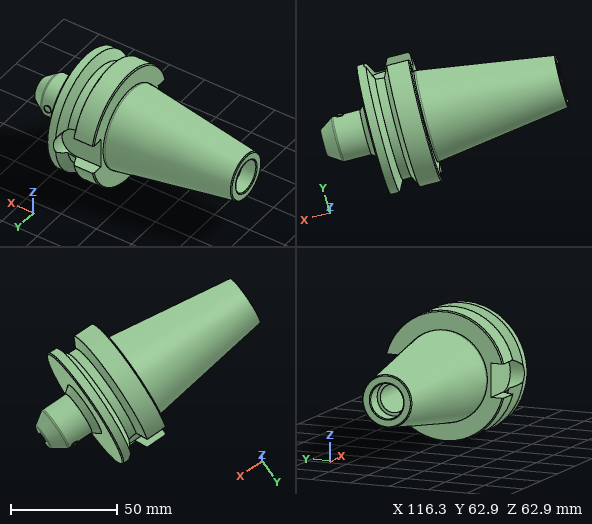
import cadquery as cq

length = 116.3

gauge_radius = 22.2
taper_end = 65.5
taper_ratio = 7 / 24
shank_chamfer = 0.5

flange_radius = 31.47
flange_start = 66.4
flange_end = 92.2
flange_chamfer = 0.6
groove_radius = 26.3
groove_start = 77.5
groove_floor_start = 80.0
groove_floor_end = 84.5
groove_end = 87.4

nose_radius = 11.0
nose_start = 95.7
nose_cone_root_radius = 13.8
nose_shoulder = 109.4
tip_radius = 6.4
shoulder_fillet = 1.4
tip_fillet = 0.9

slot_width = 16.4
slot_floor = 24.2
slot_end = 88.4

mouth_diameter = 17.0
mouth_depth = 8.0
mouth_chamfer = 0.5
thread_diameter = 13.7
thread_depth = 34.9
channel_diameter = 6.3
channel_depth = 93.1
outlet_diameter = 4.8

pin_diameter = 4.0
pin_x = 105.5
pin_inner = 1.6
pin_outer = 11.4


def make_body():
    """Revolve the outer profile about the X axis and round the nose."""
    end_radius = gauge_radius - taper_end * taper_ratio / 2
    chamfered_radius = end_radius + shank_chamfer * taper_ratio / 2
    outline = [
        (0, 0),
        (0, end_radius - shank_chamfer),
        (shank_chamfer, chamfered_radius),
        (taper_end, gauge_radius),
        (flange_start, gauge_radius),
        (flange_start, flange_radius - flange_chamfer),
        (flange_start + flange_chamfer, flange_radius),
        (groove_start, flange_radius),
        (groove_floor_start, groove_radius),
        (groove_floor_end, groove_radius),
        (groove_end, flange_radius),
        (flange_end - flange_chamfer, flange_radius),
        (flange_end, flange_radius - flange_chamfer),
        (flange_end, nose_cone_root_radius),
        (nose_start, nose_radius),
        (nose_shoulder, nose_radius),
        (length, tip_radius),
        (length, 0),
    ]
    body = cq.Workplane("XY").polyline(outline).close().revolve(360, (0, 0, 0), (1, 0, 0))
    body = body.faces(">X").edges().fillet(tip_fillet)
    shoulder = cq.selectors.BoxSelector(
        (nose_shoulder - shoulder_fillet, -nose_radius, -nose_radius),
        (nose_shoulder + shoulder_fillet, nose_radius, nose_radius),
        boundingbox=False,
    )
    return body.edges("%CIRCLE").edges(shoulder).fillet(shoulder_fillet)


def make_slot(side):
    """Round-ended drive slot on the side of Y given by the sign."""
    half_width = slot_width / 2
    arc_start = slot_end - half_width
    slot = (
        cq.Workplane("XZ")
        .moveTo(taper_end, -half_width)
        .lineTo(arc_start, -half_width)
        .threePointArc((slot_end, 0), (arc_start, half_width))
        .lineTo(taper_end, half_width)
        .close()
        .extrude(-flange_radius)
        .translate((0, slot_floor, 0))
    )
    return slot if side > 0 else slot.mirror("XZ")


def make_bore():
    """Stepped bore running through the whole length."""
    steps = [
        (mouth_diameter, mouth_depth),
        (thread_diameter, thread_depth),
        (channel_diameter, channel_depth),
        (outlet_diameter, length),
    ]
    bore = cq.Workplane("YZ").circle(mouth_diameter / 2 + mouth_chamfer)
    bore = bore.workplane(offset=mouth_chamfer).circle(mouth_diameter / 2).loft()
    for diameter, depth in steps:
        bore = bore.union(cq.Workplane("YZ").circle(diameter / 2).extrude(depth))
    return bore


def make_pin():
    """Pin standing slightly proud of the nose and reaching into the bore."""
    pin = cq.Workplane("XZ").center(pin_x, 0).circle(pin_diameter / 2)
    return pin.extrude(pin_inner - pin_outer).translate((0, pin_inner, 0))


result = make_body()
for side in (-1, 1):
    result = result.cut(make_slot(side))
result = result.cut(make_bore()).union(make_pin())